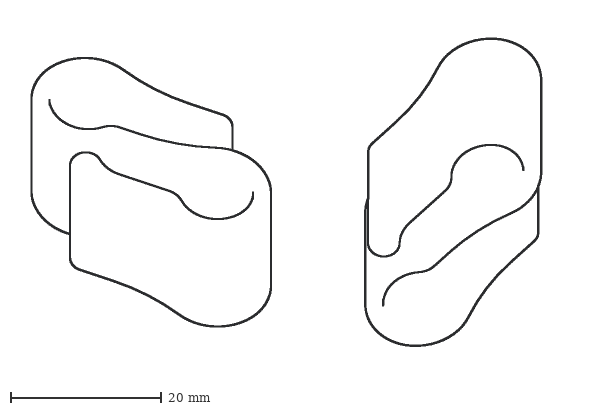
import cadquery as cq
import math


length = 36.36
height = 21.46
wall = 2.4
edge_fillet = 0.3

mouth = 4.75
back_radius = 6.6
back_half_angle = 38.0
side_center_shift = 1.08

blend_radius = 30.0
neck_radius = 3.0
tip_radius = 2.1
tip_x = 6.85
tip_neck_radius = 5.0

inner_offset = mouth / 2
outer_offset = inner_offset + wall
loop_y = (mouth + wall) / 2
back_x = back_radius - length / 2
side_radius = back_radius + side_center_shift
side_x = back_x + side_center_shift * math.cos(math.radians(back_half_angle))
side_drop = side_center_shift * math.sin(math.radians(back_half_angle))


def on_circle(center, radius, angle):
    a = math.radians(angle)
    return (center[0] + radius * math.cos(a), center[1] + radius * math.sin(a))


def loop_run(transition_radius, arm_offset, loop_inset):
    """Arcs (center, radius, start angle, end angle) from the upper arm face,
    around the left loop, to the lower arm face."""
    side_r = side_radius - loop_inset
    rise = arm_offset + transition_radius + side_drop
    reach = math.sqrt((transition_radius + side_r) ** 2 - rise ** 2)
    tangent = math.degrees(math.atan2(rise, reach))
    transition_x = side_x + reach
    transition_dy = arm_offset + transition_radius
    back_start = 180 - back_half_angle
    back_end = 180 + back_half_angle
    return [
        ((transition_x, loop_y + transition_dy), transition_radius, 270, 180 + tangent),
        ((side_x, loop_y - side_drop), side_r, tangent, back_start),
        ((back_x, loop_y), back_radius - loop_inset, back_start, back_end),
        ((side_x, loop_y + side_drop), side_r, back_end, 360 - tangent),
        ((transition_x, loop_y - transition_dy), transition_radius, 180 - tangent, 90),
    ]


def tip_run():
    """Arcs from the inner face of the upper arm, around its bead, to the outer face."""
    tip_y = loop_y + outer_offset - tip_radius
    neck_y = loop_y + inner_offset - tip_neck_radius
    rise = tip_y - neck_y
    reach = math.sqrt((tip_neck_radius + tip_radius) ** 2 - rise ** 2)
    tangent = math.degrees(math.atan2(rise, reach))
    return [
        ((tip_x - reach, neck_y), tip_neck_radius, 90, tangent),
        ((tip_x, tip_y), tip_radius, tangent - 180, 90),
    ]


def half_turn(run):
    return [((-c[0], -c[1]), r, start + 180, end + 180) for c, r, start, end in run]


def reverse(run):
    return [(c, r, end, start) for c, r, start, end in reversed(run)]


def clip_outline():
    """Closed profile: arc runs joined by the straight arm faces."""
    outer = loop_run(blend_radius, outer_offset, 0)
    inner = reverse(loop_run(neck_radius, inner_offset, wall))
    tip = tip_run()
    runs = [outer, half_turn(inner), half_turn(tip), half_turn(outer), inner, tip]

    first_center, first_radius, first_angle, _ = outer[0]
    outline = cq.Workplane("XY").moveTo(*on_circle(first_center, first_radius, first_angle))
    for index, run in enumerate(runs):
        if index > 0:
            center, radius, start, _ = run[0]
            outline = outline.lineTo(*on_circle(center, radius, start))
        for center, radius, start, end in run:
            middle = on_circle(center, radius, (start + end) / 2)
            outline = outline.threePointArc(middle, on_circle(center, radius, end))
    return outline.close()


def clip():
    body = clip_outline().extrude(height)
    return body.faces("<Z or >Z").edges().fillet(edge_fillet)


result = clip()